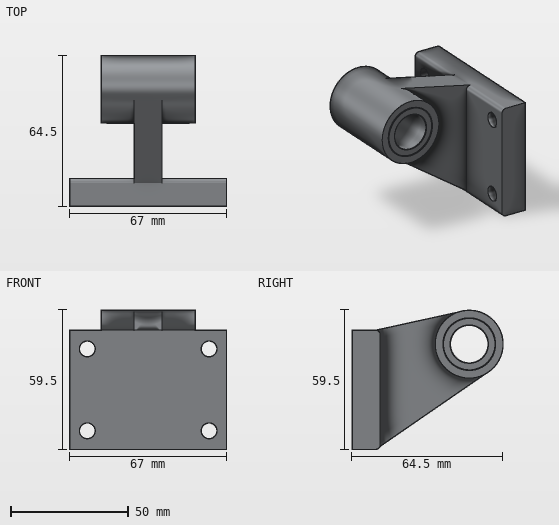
import cadquery as cq
import math

plate_width = 67.0
plate_height = 51.0
plate_thickness = 12.0
plate_edge_radius = 2.0

hole_diameter = 6.6
hole_pitch_x = 52.0
hole_pitch_z = 35.0

barrel_diameter = 29.0
barrel_length = 40.3
barrel_y = 50.0
barrel_z = 45.0
bore_diameter = 16.0
bore_chamfer = 0.2

groove_outer_diameter = 22.5
groove_inner_diameter = 22.0
groove_depth = 0.3

arm_thickness = 12.0
arm_tip_diameter = 28.8


def tangent_point(start_y, start_z, side):
    """Point where a line from the start touches the arm tip circle; side is +1 for above, -1 for below."""
    dy = start_y - barrel_y
    dz = start_z - barrel_z
    radius = arm_tip_diameter / 2
    angle = math.atan2(dz, dy) - side * math.acos(radius / math.hypot(dy, dz))
    return barrel_y + radius * math.cos(angle), barrel_z + radius * math.sin(angle)


def x_cylinder(diameter, length):
    """Cylinder on the barrel axis, centred on X = 0."""
    return (
        cq.Workplane("YZ", origin=(-length / 2, 0, 0))
        .center(barrel_y, barrel_z)
        .circle(diameter / 2)
        .extrude(length)
    )


def make_plate():
    block = cq.Workplane("XY").box(
        plate_width, plate_thickness, plate_height, centered=(True, False, False)
    )
    return block.faces(">Y").edges("|X").fillet(plate_edge_radius)


def make_arm():
    root_y = plate_thickness - plate_edge_radius
    outline = [
        (root_y, 0),
        (root_y, plate_height),
        tangent_point(root_y, plate_height, 1),
        (barrel_y, barrel_z),
        tangent_point(root_y, 0, -1),
    ]
    return cq.Workplane("YZ").polyline(outline).close().extrude(arm_thickness / 2, both=True)


def mounting_holes():
    return (
        cq.Workplane("XZ")
        .center(0, plate_height / 2)
        .rect(hole_pitch_x, hole_pitch_z, forConstruction=True)
        .vertices()
        .circle(hole_diameter / 2)
        .extrude(-plate_thickness)
    )


def bore():
    half_length = barrel_length / 2
    radius = bore_diameter / 2
    profile = [
        (-half_length, 0),
        (-half_length, radius + bore_chamfer),
        (-half_length + bore_chamfer, radius),
        (half_length - bore_chamfer, radius),
        (half_length, radius + bore_chamfer),
        (half_length, 0),
    ]
    return (
        cq.Workplane("XY")
        .polyline(profile)
        .close()
        .revolve(360, (0, 0, 0), (1, 0, 0))
        .translate((0, barrel_y, barrel_z))
    )


def end_groove(side):
    ring = x_cylinder(groove_outer_diameter, groove_depth).cut(
        x_cylinder(groove_inner_diameter, groove_depth)
    )
    return ring.translate((side * (barrel_length - groove_depth) / 2, 0, 0))


result = make_plate().union(make_arm()).union(x_cylinder(barrel_diameter, barrel_length))
result = result.cut(mounting_holes()).cut(bore())
for side in (-1, 1):
    result = result.cut(end_groove(side))